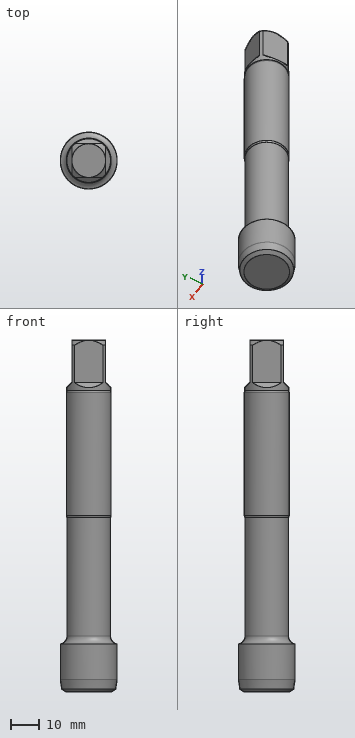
import cadquery as cq

total_length = 125.0

head_diameter = 20.24
nose_diameter = 19.2
nose_bevel_height = 1.0
nose_bevel_width = 1.5
nose_length = 4.4
shoulder_height = 17.0
shoulder_fillet = 3.0

shaft_diameter = 15.5
neck_diameter = 15.7

drive_sides = 4
square_width = 12.0
square_length = 15.0
tip_diameter = square_width
tip_bevel_height = 1.75

sleeve_diameter = 16.0
sleeve_bottom = 62.0
sleeve_top = 107.2
sleeve_bevel_height = 0.75

head_radius = head_diameter / 2
nose_radius = nose_diameter / 2
shaft_radius = shaft_diameter / 2
neck_radius = neck_diameter / 2
sleeve_radius = sleeve_diameter / 2


def turned_blank():
    """Revolved head, shaft, neck and coned tip, before the square is cut."""
    fillet_center_radius = shaft_radius + shoulder_fillet
    rim_offset = fillet_center_radius - head_radius
    fillet_height = (shoulder_fillet**2 - rim_offset**2) ** 0.5
    return (
        cq.Workplane("XZ")
        .lineTo(nose_radius - nose_bevel_width, 0)
        .lineTo(nose_radius, nose_bevel_height)
        .lineTo(head_radius, nose_length)
        .lineTo(head_radius, shoulder_height)
        .radiusArc((shaft_radius, shoulder_height + fillet_height), shoulder_fillet)
        .lineTo(shaft_radius, sleeve_top)
        .lineTo(neck_radius, sleeve_top)
        .lineTo(neck_radius, total_length - tip_bevel_height)
        .lineTo(tip_diameter / 2, total_length)
        .lineTo(0, total_length)
        .close()
        .revolve(360, (0, 0, 0), (0, 1, 0))
    )


def flat_cutter():
    """Block that cuts one drive flat on the +X side, with a 45 degree run-out at its foot."""
    flat_distance = square_width / 2
    foot_height = total_length - square_length
    reach = head_radius
    run_out = reach - flat_distance
    return (
        cq.Workplane("XZ")
        .moveTo(flat_distance, foot_height)
        .lineTo(reach, foot_height - run_out)
        .lineTo(reach, total_length)
        .lineTo(flat_distance, total_length)
        .close()
        .extrude(head_radius, both=True)
    )


def make_extension_bar():
    bar = turned_blank()
    cutter = flat_cutter()
    for side in range(drive_sides):
        bar = bar.cut(cutter.rotate((0, 0, 0), (0, 0, 1), side * 360 / drive_sides))
    return bar


def make_sleeve():
    """Thin tube around the shaft, tapered down to the shaft below and to the neck above."""
    return (
        cq.Workplane("XZ")
        .moveTo(shaft_radius, sleeve_bottom)
        .lineTo(sleeve_radius, sleeve_bottom + sleeve_bevel_height)
        .lineTo(sleeve_radius, sleeve_top - sleeve_bevel_height)
        .lineTo(neck_radius, sleeve_top)
        .lineTo(shaft_radius, sleeve_top)
        .close()
        .revolve(360, (0, 0, 0), (0, 1, 0))
    )


extension_bar = make_extension_bar()
sleeve = make_sleeve()

result = cq.Compound.makeCompound([extension_bar.val(), sleeve.val()])